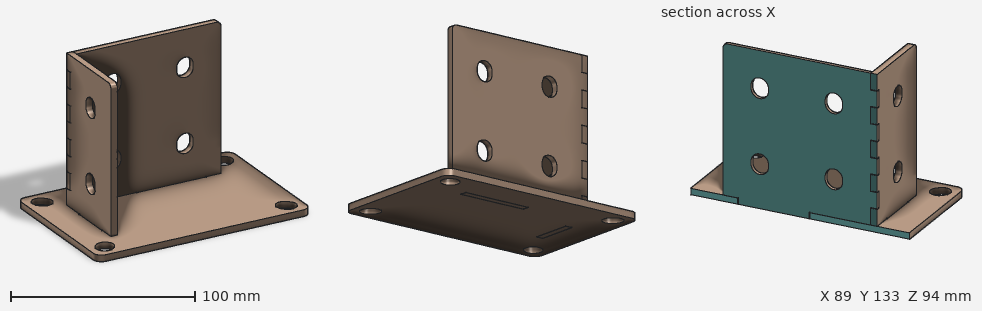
import cadquery as cq

BASE_LENGTH = 133.0
BASE_WIDTH = 89.0
THICKNESS = 4.0
BASE_CORNER_RADIUS = 5.0
BASE_HOLE_INSET = 10.0

SLOT_WIDTH = 10.2
SLOT_LENGTH = 12.0

WALL_HEIGHT = 90.0
SIDE_WALL_LENGTH = WALL_HEIGHT + THICKNESS
FRONT_WALL_LENGTH = WALL_HEIGHT / 2 + THICKNESS
WALL_CORNER_RADIUS = 3.0
WALL_LEFT = -FRONT_WALL_LENGTH / 2
WALL_FRONT = -SIDE_WALL_LENGTH / 2

SLOT_PITCH = WALL_HEIGHT / 2
SLOT_MARGIN = SLOT_PITCH / 2

FINGER_COUNT = 9
FINGER_HEIGHT = WALL_HEIGHT / FINGER_COUNT
FINGER_CLEARANCE = 0.05

FRONT_TAB_LENGTH = 25.0
FRONT_TAB_OFFSET = (FRONT_WALL_LENGTH + THICKNESS - FRONT_TAB_LENGTH) / 2
SIDE_TAB_LENGTH = 43.1
SIDE_TAB_OFFSET = 41.5
TAB_CLEARANCE = 0.25


def corner_box(x, y, z, size_x, size_y, size_z):
    """Box with its lowest corner at (x, y, z)."""
    return cq.Workplane("XY").box(size_x, size_y, size_z, centered=False).translate((x, y, z))


def make_tab(x, y, size_x, size_y, gap):
    """Tab as thick as the base, grown sideways by gap to shape its slot."""
    return corner_box(x - gap, y - gap, 0, size_x + 2 * gap, size_y + 2 * gap, THICKNESS)


def make_front_tab(gap=0):
    return make_tab(WALL_LEFT + FRONT_TAB_OFFSET, WALL_FRONT, FRONT_TAB_LENGTH, THICKNESS, gap)


def make_side_tab(gap=0):
    return make_tab(WALL_LEFT, WALL_FRONT + SIDE_TAB_OFFSET, THICKNESS, SIDE_TAB_LENGTH, gap)


def cut_notches(wall, first):
    """Cut room for every second finger of the other wall, counted upward from finger number first."""
    notch_width = THICKNESS + 2 * FINGER_CLEARANCE
    notch_height = FINGER_HEIGHT + 2 * FINGER_CLEARANCE
    for index in range(first, FINGER_COUNT, 2):
        bottom = THICKNESS + index * FINGER_HEIGHT
        notch = corner_box(
            WALL_LEFT - FINGER_CLEARANCE,
            WALL_FRONT - FINGER_CLEARANCE,
            bottom - FINGER_CLEARANCE,
            notch_width,
            notch_width,
            notch_height,
        )
        wall = wall.cut(notch)
    return wall


def make_base():
    base = (
        cq.Workplane("XY")
        .box(BASE_WIDTH, BASE_LENGTH, THICKNESS, centered=(True, True, False))
        .edges("|Z")
        .fillet(BASE_CORNER_RADIUS)
    )
    hole_x = BASE_WIDTH / 2 - BASE_HOLE_INSET
    hole_y = BASE_LENGTH / 2 - BASE_HOLE_INSET
    for side_x in (-1, 1):
        for side_y in (-1, 1):
            slot = (
                cq.Workplane("XY")
                .slot2D(SLOT_LENGTH, SLOT_WIDTH, 45 * side_x * side_y)
                .extrude(THICKNESS)
                .translate((side_x * hole_x, side_y * hole_y, 0))
            )
            base = base.cut(slot)
    return base.cut(make_front_tab(TAB_CLEARANCE)).cut(make_side_tab(TAB_CLEARANCE))


def cut_wall_slots(wall, plane, positions):
    """Cut a lower and an upper slot at each position along the wall."""
    for position in positions:
        for height in (THICKNESS + SLOT_MARGIN, THICKNESS + SLOT_MARGIN + SLOT_PITCH):
            slot = (
                cq.Workplane(plane)
                .center(position, height)
                .slot2D(SLOT_LENGTH, SLOT_WIDTH, 90)
                .extrude(BASE_LENGTH, both=True)
            )
            wall = wall.cut(slot)
    return wall


def make_side_wall():
    wall = (
        corner_box(WALL_LEFT, WALL_FRONT, THICKNESS, THICKNESS, SIDE_WALL_LENGTH, WALL_HEIGHT)
        .edges("|X and >Y and >Z")
        .fillet(WALL_CORNER_RADIUS)
    )
    wall = cut_notches(wall, 0).union(make_side_tab())
    first = WALL_FRONT + THICKNESS + SLOT_MARGIN
    return cut_wall_slots(wall, "YZ", (first, first + SLOT_PITCH))


def make_front_wall():
    wall = (
        corner_box(WALL_LEFT, WALL_FRONT, THICKNESS, FRONT_WALL_LENGTH, THICKNESS, WALL_HEIGHT)
        .edges("|Y and >X and >Z")
        .fillet(WALL_CORNER_RADIUS)
    )
    wall = cut_notches(wall, 1).union(make_front_tab())
    return cut_wall_slots(wall, "XZ", (WALL_LEFT + THICKNESS + SLOT_MARGIN,))


base = make_base()
side_wall = make_side_wall()
front_wall = make_front_wall()
result = cq.Compound.makeCompound([base.val(), side_wall.val(), front_wall.val()])